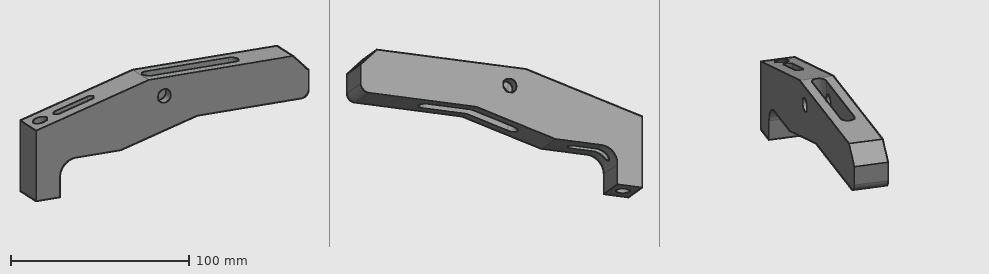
import cadquery as cq
import math

width = 20.0
length = 171.9
height = 61.0

slope = math.tan(math.radians(15))
bar_depth = 26.1
top_bend_y = 71.0
bottom_bend_y = 101.5
flat_end_y = 53.3
leg_thickness = 15.1
leg_fillet = 10.0
end_chamfer = 10.0
end_fillet = 5.0

hole_diameter = 8.0
leg_hole_y = 7.5
cross_hole_y = 80.8
cross_hole_z = 50.0
long_slot_length = 60.0
long_slot_y = 102.1
short_slot_length = 25.0
short_slot_width = 5.0
short_slot_y = 28.7

bar_bottom_z = height - bar_depth
front_top_z = height - top_bend_y * slope
flat_z = bar_bottom_z - (bottom_bend_y - flat_end_y) * slope


def make_body():
    """Cranked arm with a leg, extruded symmetrically across the width."""
    fillet_middle = leg_fillet * (1 - math.sqrt(0.5))
    end_fillet_middle = end_fillet * (1 - math.sqrt(0.5))
    return (
        cq.Workplane("YZ")
        .moveTo(0, 0)
        .lineTo(0, front_top_z)
        .lineTo(top_bend_y, height)
        .lineTo(length - end_chamfer, height)
        .lineTo(length, height - end_chamfer)
        .lineTo(length, bar_bottom_z + end_fillet)
        .threePointArc(
            (length - end_fillet_middle, bar_bottom_z + end_fillet_middle),
            (length - end_fillet, bar_bottom_z),
        )
        .lineTo(bottom_bend_y, bar_bottom_z)
        .lineTo(flat_end_y, flat_z)
        .lineTo(leg_thickness + leg_fillet, flat_z)
        .threePointArc(
            (leg_thickness + fillet_middle, flat_z - fillet_middle),
            (leg_thickness, flat_z - leg_fillet),
        )
        .lineTo(leg_thickness, 0)
        .close()
        .extrude(width / 2, both=True)
    )


def vertical_slot(center_y, slot_length, slot_width):
    """Round-ended cutter along Y, passing through the full height."""
    return cq.Workplane("XY").center(0, center_y).slot2D(slot_length, slot_width, 90).extrude(height)


leg_hole = cq.Workplane("XY").center(0, leg_hole_y).circle(hole_diameter / 2).extrude(height)
cross_hole = (
    cq.Workplane("YZ")
    .center(cross_hole_y, cross_hole_z)
    .circle(hole_diameter / 2)
    .extrude(width, both=True)
)

result = (
    make_body()
    .cut(vertical_slot(long_slot_y, long_slot_length, hole_diameter))
    .cut(vertical_slot(short_slot_y, short_slot_length, short_slot_width))
    .cut(leg_hole)
    .cut(cross_hole)
)